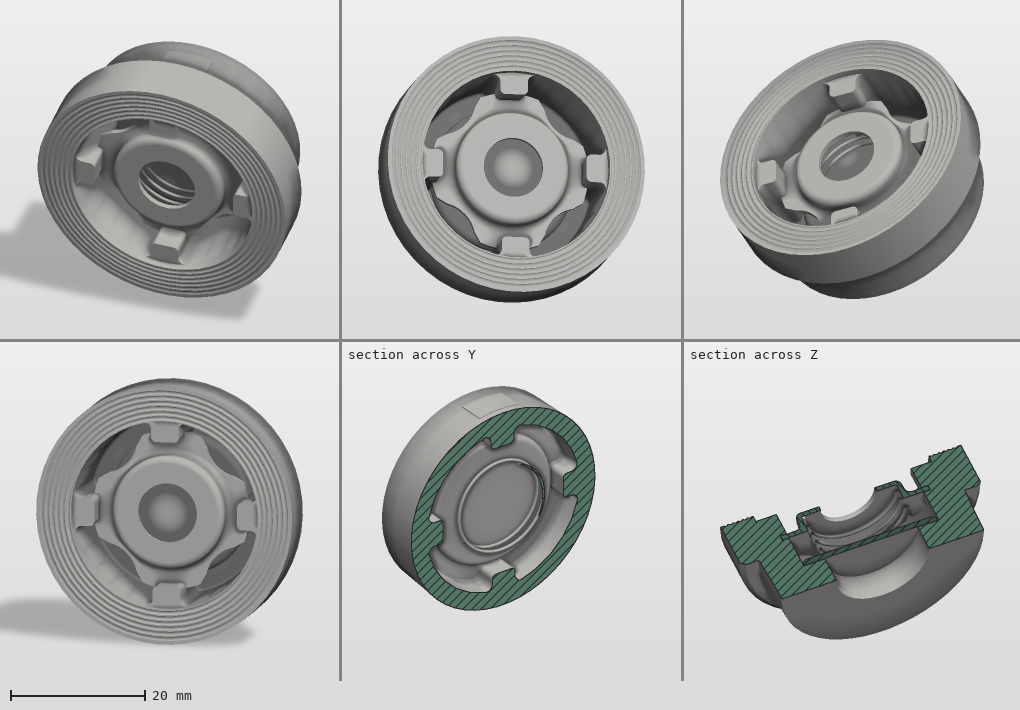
import cadquery as cq
import math


total_depth = 16.0
flange_radius = 19.5
flange_depth = 8.0
chamfer_depth = 0.6
chamfer_width = 0.78
tail_front_radius = 16.75
tail_back_radius = 16.38

pad_half_width = 3.55
pad_front_depth = 8.97
pad_back_depth = 13.45
pad_height = 0.15
pad_root = 0.78

groove_count = 6
groove_outer_radius = 18.9
groove_pitch = 0.78
groove_width = 0.6
groove_sag = 0.15

mouth_radius = 14.25
floor_radius = 13.6
floor_depth = 11.5
floor_fillet = 0.43
seat_radius = 7.5

arm_count = 4
rib_front_depth = 1.1
rib_half_width = 2.1
rib_offset = 0.1
rib_inner_radius = 10.9
rib_corner = 0.78
rib_root_fillet = 0.98
tolerance = 0.005

sheet = 0.78
cup_top_depth = 2.25
star_depth = 5.07
cup_radius = 8.5
cup_round = 0.98
cup_hole_radius = 4.5
foot_radius = cup_radius + cup_round
cup_inner_radius = cup_radius - sheet
arm_radius = 11.95
arm_half_width = 4.4
notch_radius = 9.6
shoulder_radius = 10.9
shoulder_angle = 60.8

disc_radius = rib_inner_radius
disc_thickness = 0.98
disc_edge_round = 0.95
disc_depth = floor_depth - disc_thickness

wire_radius = 0.25
coil_gap = 0.1
coil_radius = cup_inner_radius - wire_radius - coil_gap
coil_pitch = 1.6


def revolved(profile):
    """Turn a closed (depth, radius) profile about the Y axis."""
    return profile.close().revolve(360, (0, 0, 0), (1, 0, 0))


def polar(radius, degrees):
    angle = math.radians(degrees)
    return radius * math.cos(angle), radius * math.sin(angle)


def turned_body():
    return revolved(
        cq.Workplane("YZ")
        .moveTo(0, mouth_radius)
        .lineTo(0, flange_radius)
        .lineTo(flange_depth - chamfer_depth, flange_radius)
        .lineTo(flange_depth, flange_radius - chamfer_width)
        .lineTo(flange_depth, tail_front_radius)
        .lineTo(total_depth, tail_back_radius)
        .lineTo(total_depth, seat_radius)
        .lineTo(floor_depth, seat_radius)
        .lineTo(floor_depth, floor_radius)
    )


def add_ribs(body):
    rib_end_radius = (mouth_radius + tail_back_radius) / 2
    rib = (
        cq.Workplane("XZ", origin=(0, floor_depth, 0))
        .center((rib_inner_radius + rib_end_radius) / 2, rib_offset)
        .rect(rib_end_radius - rib_inner_radius, 2 * rib_half_width)
        .extrude(floor_depth - rib_front_depth)
        .edges("|Y and <X")
        .fillet(rib_corner)
    )
    for i in range(arm_count):
        body = body.union(rib.rotate((0, 0, 0), (0, 1, 0), i * 360 / arm_count))
    return body


def fillet_cavity(body):
    """Round the roots of the ribs, then the outline of the cavity floor."""

    def axis_distance(edge):
        return math.hypot(edge.Center().x, edge.Center().z)

    def is_rib_root(edge):
        runs_along_rib = edge.BoundingBox().ylen > (floor_depth - rib_front_depth) / 2
        at_wall = rib_inner_radius + rib_corner < axis_distance(edge) < mouth_radius
        return runs_along_rib and at_wall

    def is_floor_outline(edge):
        box = edge.BoundingBox()
        on_floor = box.ylen < tolerance and abs(box.ymin - floor_depth) < tolerance
        return on_floor and axis_distance(edge) > seat_radius

    roots = [edge for edge in body.edges().vals() if is_rib_root(edge)]
    body = body.newObject(roots).fillet(rib_root_fillet)
    outline = [edge for edge in body.edges().vals() if is_floor_outline(edge)]
    return body.newObject(outline).fillet(floor_fillet)


def cut_grooves(body):
    for i in range(groove_count):
        outer = groove_outer_radius - i * groove_pitch
        inner = outer - groove_width
        arc = (
            cq.Workplane("YZ")
            .moveTo(0, outer)
            .threePointArc((groove_sag, (outer + inner) / 2), (0, inner))
        )
        body = body.cut(revolved(arc))
    return body


def marking_pad():
    """Rectangle of the tail surface, lifted by the pad height."""
    slope = (tail_front_radius - tail_back_radius) / (total_depth - flange_depth)
    front_radius = tail_front_radius - slope * (pad_front_depth - flange_depth)
    back_radius = tail_front_radius - slope * (pad_back_depth - flange_depth)
    sleeve = revolved(
        cq.Workplane("YZ")
        .moveTo(pad_front_depth, front_radius - pad_root)
        .lineTo(pad_front_depth, front_radius + pad_height)
        .lineTo(pad_back_depth, back_radius + pad_height)
        .lineTo(pad_back_depth, back_radius - pad_root)
    )
    outline = cq.Workplane("XY").center(0, (pad_front_depth + pad_back_depth) / 2)
    return sleeve.intersect(outline.rect(2 * pad_half_width, total_depth).extrude(flange_radius))


def disc_guide():
    """Space for the disc, which clears the rounded feet of the ribs."""
    return cq.Workplane("XZ", origin=(0, floor_depth, 0)).circle(disc_radius).extrude(disc_thickness)


def make_body(star):
    """Housing whose ribs are slotted to hold the arms of the star."""
    body = cut_grooves(fillet_cavity(add_ribs(turned_body())))
    return body.union(marking_pad()).cut(disc_guide()).cut(star)


def make_star():
    """Flat plate with four round-ended arms and a rounded notch between them."""
    corner_angle = math.degrees(math.asin(arm_half_width / arm_radius))
    quarter = 360 / arm_count
    star = cq.Workplane("XZ", origin=(0, star_depth + sheet, 0)).moveTo(*polar(arm_radius, -corner_angle))
    for i in range(arm_count):
        turn = i * quarter
        star = (
            star.threePointArc(polar(arm_radius, turn), polar(arm_radius, turn + corner_angle))
            .lineTo(*polar(shoulder_radius, turn + quarter - shoulder_angle))
            .threePointArc(
                polar(notch_radius, turn + quarter / 2),
                polar(shoulder_radius, turn + shoulder_angle),
            )
        )
        if i < arm_count - 1:
            star = star.lineTo(*polar(arm_radius, turn + quarter - corner_angle))
    return star.close().extrude(sheet)


def make_cup():
    """Pressed cup of constant sheet thickness, flared at the foot into the star."""
    inner_round = cup_round - sheet
    star_back = star_depth + sheet
    return revolved(
        cq.Workplane("YZ")
        .moveTo(cup_top_depth, cup_hole_radius)
        .lineTo(cup_top_depth, cup_radius - cup_round)
        .radiusArc((cup_top_depth + cup_round, cup_radius), cup_round)
        .lineTo(star_depth - cup_round, cup_radius)
        .radiusArc((star_depth, foot_radius), -cup_round)
        .lineTo(star_back, foot_radius)
        .lineTo(star_back, cup_inner_radius)
        .lineTo(cup_top_depth + cup_round, cup_inner_radius)
        .radiusArc((cup_top_depth + sheet, cup_inner_radius - inner_round), -inner_round)
        .lineTo(cup_top_depth + sheet, cup_hole_radius)
    )


def make_retainer(star):
    cup_opening = cq.Workplane("XZ").circle(cup_inner_radius).extrude(-total_depth)
    return star.cut(cup_opening).union(make_cup())


def make_disc():
    disc = cq.Workplane("XZ", origin=(0, floor_depth, 0)).circle(disc_radius).extrude(disc_thickness)
    return disc.faces("<Y").edges().fillet(disc_edge_round)


def make_spring():
    """Round-wire helix, wound along Z and then laid along Y."""
    start = cup_top_depth + sheet + wire_radius
    end = disc_depth - wire_radius
    helix = cq.Wire.makeHelix(coil_pitch, end - start, coil_radius)
    wire = cq.Workplane("XZ").center(coil_radius, 0).circle(wire_radius)
    spring = wire.sweep(cq.Workplane(helix), isFrenet=True)
    return spring.rotate((0, 0, 0), (1, 0, 0), -90).translate((0, start, 0))


star = make_star()
body = make_body(star)
retainer = make_retainer(star)
disc = make_disc()
spring = make_spring()
result = cq.Compound.makeCompound([part.solids().val() for part in (body, retainer, disc, spring)])